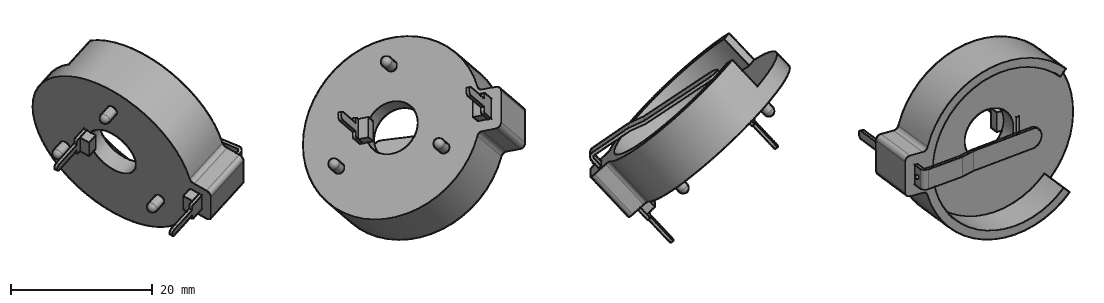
import cadquery as cq
import math


disc_radius = 13.9
housing_height = 7.93
floor_thickness = 2.7
cavity_radius = 12.5
center_hole_radius = 4.02
opening_start_angle = 133.2
opening_sweep = 90.0

tab_end_x = 30.95 - disc_radius
tab_width = 6.45
tab_radius = 0.8

peg_count = 3
peg_radius = 0.8
peg_length = 2.57
peg_circle_radius = 9.47

sheet = 0.5
contact_width = 3.13
lead_width = 1.3
lead_length = 7.18
lead_tip_radius = 0.6
shoulder_length = 2.35
shoulder_radius = 0.25
spring_lead_x = 15.02
floor_lead_x = -5.0

block_length = 1.58
block_height = 1.6

spring_top_y = 17.37 - lead_length
bend_radius = 0.77
spring_knees = [(6.22, 8.6), (8.5, 9.35)]
spring_tip_x = -6.2
spring_tip_y = 6.75
dimple_radius = 0.35
dimple_y = 8.73


def plate(x, y, length, height, width):
    """Box with its low X and Y corner at (x, y), centred on Z = 0."""
    return cq.Workplane("XY").box(length, height, width, centered=(False, False, True)).translate((x, y, 0))


def disc(radius, start_y, end_y):
    """Cylinder on the Y axis between two heights."""
    return cq.Workplane("XZ", origin=(0, start_y, 0)).circle(radius).extrude(start_y - end_y)


def make_peg(angle):
    """Round-ended peg on the mounting face."""
    x = peg_circle_radius * math.cos(math.radians(angle))
    z = peg_circle_radius * math.sin(math.radians(angle))
    shank_length = peg_length - peg_radius
    shank = cq.Workplane("XZ", origin=(x, 0, z)).circle(peg_radius).extrude(shank_length)
    dome = cq.Workplane("XY").sphere(peg_radius).translate((x, -shank_length, z))
    return shank.union(dome)


def make_tab():
    """Rounded tab, blended into the disc by concave fillets."""
    half_width = tab_width / 2
    tab = plate(0, 0, tab_end_x, housing_height, tab_width).edges("|Y and >X").fillet(tab_radius)
    blend_z = half_width + tab_radius
    center_distance = disc_radius + tab_radius
    blend_x = math.sqrt(center_distance**2 - blend_z**2)
    rim_x = blend_x * disc_radius / center_distance
    rim_z = blend_z * disc_radius / center_distance
    toward_rim = math.atan2(-blend_z, -blend_x)
    middle_angle = (toward_rim - math.pi / 2) / 2
    middle_x = blend_x + tab_radius * math.cos(middle_angle)
    middle_z = blend_z + tab_radius * math.sin(middle_angle)
    blend = (
        cq.Workplane("XZ")
        .moveTo(0, 0)
        .lineTo(rim_x, rim_z)
        .threePointArc((middle_x, middle_z), (blend_x, half_width))
        .lineTo(blend_x, 0)
        .close()
        .extrude(-housing_height)
    )
    return tab.union(blend).union(blend.mirror("XY"))


def make_opening():
    """Sector that removes the side wall above the floor."""
    reach = 2 * disc_radius
    start = math.radians(opening_start_angle)
    middle = start + math.radians(opening_sweep / 2)
    end = start + math.radians(opening_sweep)
    return (
        cq.Workplane("XZ", origin=(0, floor_thickness, 0))
        .lineTo(reach * math.cos(start), reach * math.sin(start))
        .threePointArc(
            (reach * math.cos(middle), reach * math.sin(middle)),
            (reach * math.cos(end), reach * math.sin(end)),
        )
        .close()
        .extrude(floor_thickness - housing_height)
    )


def make_housing():
    body = disc(disc_radius, 0, housing_height).union(make_tab())
    body = body.cut(disc(cavity_radius, floor_thickness, housing_height))
    body = body.cut(make_opening())
    body = body.cut(disc(center_hole_radius, 0, floor_thickness))
    for i in range(peg_count):
        body = body.union(make_peg(90 + i * 360 / peg_count))
    spring_block_x = spring_lead_x - block_length
    floor_block_x = floor_lead_x + sheet
    for block_x in (spring_block_x, floor_block_x):
        body = body.union(plate(block_x, -block_height, block_length, block_height, contact_width))
    body = body.cut(plate(spring_lead_x, 0, sheet, housing_height, contact_width))
    return body.cut(plate(floor_lead_x, 0, sheet, floor_thickness, contact_width))


def make_lead(x, top_y):
    """Flat lead: a wide shank up to top_y, a shoulder and a narrow rounded pin."""
    shank = plate(x, -shoulder_length, sheet, shoulder_length + top_y, contact_width)
    shank = shank.edges("|X and <Y").fillet(shoulder_radius)
    pin = plate(x, -lead_length, sheet, lead_length, lead_width)
    pin = pin.edges("|X and <Y").fillet(lead_tip_radius)
    return shank.union(pin)


def make_spring_arm():
    """Bent strip from the lead over the cavity, with a round free end."""
    outer_x = spring_lead_x + sheet
    bend_y = spring_top_y - bend_radius
    first_knee, second_knee = spring_knees
    bend_x = outer_x - bend_radius
    center_dx = bend_x - second_knee[0]
    center_dy = bend_y - second_knee[1]
    slope = math.atan2(center_dy, center_dx) + math.asin(bend_radius / math.hypot(center_dx, center_dy))
    crest_angle = slope + math.pi / 2
    middle_angle = crest_angle / 2

    def on_bend(radius, angle):
        return (bend_x + radius * math.cos(angle), bend_y + radius * math.sin(angle))

    inner_radius = bend_radius - sheet
    inner_knees = [(x + sheet * math.sin(slope), y - sheet * math.cos(slope)) for x, y in spring_knees]
    strip = (
        cq.Workplane("XY", origin=(0, 0, -contact_width / 2))
        .moveTo(spring_tip_x, spring_tip_y)
        .lineTo(*first_knee)
        .lineTo(*second_knee)
        .lineTo(*on_bend(bend_radius, crest_angle))
        .threePointArc(on_bend(bend_radius, middle_angle), (outer_x, bend_y))
        .lineTo(outer_x, housing_height)
        .lineTo(spring_lead_x, housing_height)
        .lineTo(spring_lead_x, bend_y)
        .threePointArc(on_bend(inner_radius, middle_angle), on_bend(inner_radius, crest_angle))
        .lineTo(*inner_knees[1])
        .lineTo(*inner_knees[0])
        .lineTo(spring_tip_x, spring_tip_y - sheet)
        .close()
        .extrude(contact_width)
    )
    end_radius = contact_width / 2
    straight_start = spring_tip_x + end_radius
    outline = disc(end_radius, 0, spring_top_y).translate((straight_start, 0, 0))
    outline = outline.union(plate(straight_start, 0, outer_x - straight_start, spring_top_y, contact_width))
    return strip.intersect(outline)


def make_spring_contact():
    dimple = cq.Workplane("XY").sphere(dimple_radius).translate((spring_lead_x + sheet, dimple_y, 0))
    dimple = dimple.intersect(plate(spring_lead_x, 0, 2 * sheet, spring_top_y, contact_width))
    return make_lead(spring_lead_x, housing_height).union(make_spring_arm()).union(dimple)


def make_floor_contact():
    """Straight contact that ends flush with the cavity floor."""
    return make_lead(floor_lead_x, floor_thickness)


housing = make_housing()
spring_contact = make_spring_contact()
floor_contact = make_floor_contact()

result = cq.Compound.makeCompound([housing.val(), spring_contact.val(), floor_contact.val()])